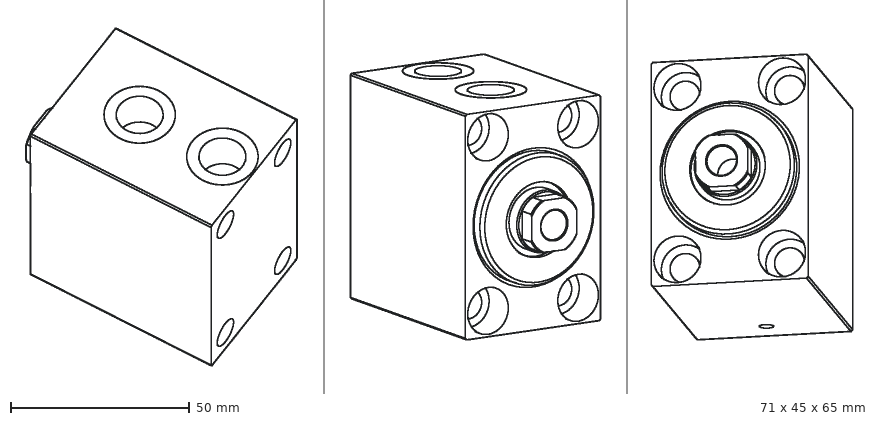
import cadquery as cq
import math


overall_length = 71.0

block_length = 60.0
block_width = 45.0
block_height = 65.0
edge_chamfer = 0.5

bolt_spacing_y = 29.95
bolt_spacing_z = 50.0
bolt_hole_diameter = 8.5
bolt_head_diameter = 13.5
bolt_head_depth = 10.0

front_port_x = 22.0
rear_port_x = 49.5
port_diameter = 13.1
port_depth = 12.0
port_passage_diameter = 4.0
spotface_diameter = 20.0
spotface_depth = 0.1

gland_diameter = 38.0
gland_protrusion = 3.0
gland_insertion = 14.2
gland_chamfer = 1.0
gland_recess_diameter = 21.65
gland_recess_depth = 1.5
gland_seat_chamfer = 1.0

rod_diameter = 17.95
rod_protrusion = overall_length - block_length
rod_insertion = 35.5
shoulder_chamfer = 0.4
neck_length = 5.05
neck_diameter = 17.0
neck_across_flats = 15.0
neck_chamfer = 0.3
tapped_hole_diameter = 8.5
tapped_hole_depth = 14.9
tapped_hole_chamfer = 0.3
drill_point_angle = 118.0


def cylinder_along_x(diameter, start, end):
    """Solid cylinder on the X axis between two X positions."""
    return cq.Workplane("YZ", origin=(start, 0, 0)).circle(diameter / 2).extrude(end - start)


def cut_bolt_holes(body):
    """Four through holes in a rectangle, counterbored from the front face."""
    front_face = cq.Workplane("YZ").rarray(bolt_spacing_y, bolt_spacing_z, 2, 2)
    through_holes = front_face.circle(bolt_hole_diameter / 2).extrude(block_length)
    counterbores = front_face.circle(bolt_head_diameter / 2).extrude(bolt_head_depth)
    return body.cut(through_holes).cut(counterbores)


def cut_port(body, port_x, passage_depth):
    """Flat-bottomed port in the top face, with a spotface and a narrow passage."""
    top_face = cq.Workplane("XY", origin=(port_x, 0, block_height / 2))
    steps = [
        (spotface_diameter, spotface_depth),
        (port_diameter, port_depth),
        (port_passage_diameter, passage_depth),
    ]
    for diameter, depth in steps:
        body = body.cut(top_face.circle(diameter / 2).extrude(-depth))
    return body


def make_housing():
    body = (
        cq.Workplane("YZ")
        .rect(block_width, block_height)
        .extrude(block_length)
        .edges("|X")
        .chamfer(edge_chamfer)
    )
    body = cut_bolt_holes(body)

    body = cut_port(body, front_port_x, block_height / 2)
    body = cut_port(body, rear_port_x, block_height)

    seat = cylinder_along_x(gland_diameter, 0, gland_insertion)
    seat_mouth = cq.Workplane(
        cq.Solid.makeCone(
            gland_diameter / 2 + gland_seat_chamfer,
            gland_diameter / 2,
            gland_seat_chamfer,
            dir=cq.Vector(1, 0, 0),
        )
    )
    rod_bore = cylinder_along_x(rod_diameter, 0, rod_insertion)
    return body.cut(seat).cut(seat_mouth).cut(rod_bore)


def make_gland():
    body = cylinder_along_x(gland_diameter, -gland_protrusion, gland_insertion)
    body = body.faces("<X").chamfer(gland_chamfer)
    recess = cylinder_along_x(
        gland_recess_diameter, -gland_protrusion, gland_recess_depth - gland_protrusion
    )
    rod_hole = cylinder_along_x(rod_diameter, -gland_protrusion, gland_insertion)
    return body.cut(recess).cut(rod_hole)


def make_neck(tip, shoulder):
    """Wrench neck: a cylinder trimmed by four flats, with its tip edge chamfered."""
    turned = cylinder_along_x(neck_diameter, tip, shoulder).faces("<X").chamfer(neck_chamfer)
    square = cq.Workplane("YZ", origin=(tip, 0, 0)).rect(neck_across_flats, neck_across_flats)
    return turned.intersect(square.extrude(shoulder - tip))


def make_tapped_hole(tip):
    """Blind hole with a chamfered mouth and a conical drill point, as a cutting body."""
    radius = tapped_hole_diameter / 2
    mouth_radius = radius + tapped_hole_chamfer
    bottom = tip + tapped_hole_depth
    point_depth = radius / math.tan(math.radians(drill_point_angle / 2))
    profile = [
        (tip, 0),
        (tip, mouth_radius),
        (tip + tapped_hole_chamfer, radius),
        (bottom, radius),
        (bottom + point_depth, 0),
    ]
    return cq.Workplane("XY").polyline(profile).close().revolve(360, (0, 0, 0), (1, 0, 0))


def make_rod():
    tip = -rod_protrusion
    shoulder = tip + neck_length
    shank = cylinder_along_x(rod_diameter, shoulder, rod_insertion)
    shank = shank.faces("<X").chamfer(shoulder_chamfer)
    return shank.union(make_neck(tip, shoulder)).cut(make_tapped_hole(tip))


housing = make_housing()
gland = make_gland()
rod = make_rod()

result = cq.Compound.makeCompound([housing.val(), gland.val(), rod.val()])